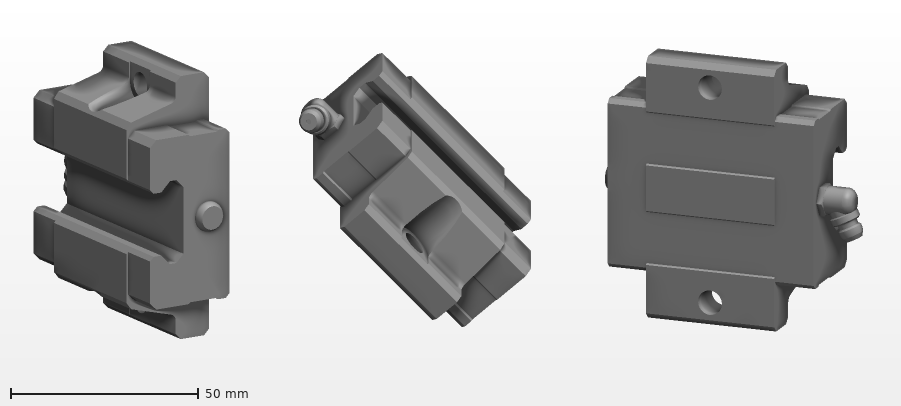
import cadquery as cq
import math


BODY_LENGTH = 36.7
WIDTH = 73.0
HEIGHT = 26.0
FLANGE_THICKNESS = 10.5
FLANGE_CHAMFER = 1.6
SHOULDER_ANGLE = 15.0
SHOULDER_HALF_WIDTH = 25.5
SHOULDER_CHAMFER_LEG = 1.5
FLANGE_ROOT_RADIUS = 2.0

GROOVE_DEPTH = 0.5
GROOVE_INNER = 6.75
GROOVE_OUTER = 21.0
GROOVE_SIDE_RUN = 0.4

CHANNEL_FLOOR_Y = -15.0
CHANNEL_FLOOR_HALF = 9.25
CHANNEL_WIDE_HALF = 11.5
CHANNEL_MOUTH_HALF = 8.75
CHANNEL_LIP_FLAT_Y = -22.0
CHANNEL_LIP_CHAMFER_Y = -24.35
CHANNEL_CLEARANCE = 2.0

HOLE_DIAMETER = 6.8
HOLE_PITCH = 60.0
SEAT_WIDTH = 10.5
SEAT_OUTER = 35.3
SEAT_Y = -10.2

TOTAL_LENGTH = 59.0
CAP_WIDTH = 47.0
CAP_BACK_Y = -0.5
CAP_FRONT_Y = -25.5
CAP_BACK_CHAMFER = 1.2
CAP_FRONT_CHAMFER = 1.9
CAP_NOTCH_DEPTH = 0.45
CAP_NOTCH_BACK_Y = -4.0
CAP_NOTCH_FRONT_Y = -13.35

FITTING_Y = -7.15
HEX_ACROSS_FLATS = 8.0
HEX_SIDES = 6
HEX_THICKNESS = 1.7
HEX_CHAMFER_ANGLE = 30.0
ELBOW_DIAMETER = 7.85
ELBOW_REACH = 9.4
ELBOW_FILLET = 2.45
NIPPLE_TILT = 25.0
NIPPLE_LENGTH = 11.1
NIPPLE_OFFSET = 4.41

STUB_DIAMETER = 6.8
COLLAR_DIAMETER = 8.0
COLLAR_START = 3.7
COLLAR_CYLINDER_START = 4.0
COLLAR_CYLINDER_END = 5.6
COLLAR_END = 6.05
COLLAR_END_DIAMETER = 7.0
NECK_DIAMETER = 5.5
HEAD_START = 7.4
HEAD_DIAMETER = 6.6
HEAD_BULGE_START = 7.9
HEAD_BULGE_END = 9.9
HEAD_BULGE_DIAMETER = 6.1
TIP_DIAMETER = 4.6
TIP_HOLE_DIAMETER = 1.4
TIP_HOLE_DEPTH = 0.2

PLUG_DIAMETER = 8.4
PLUG_END_DIAMETER = 6.5
PLUG_LENGTH = 2.1


def extrude_along_x(outline, length):
    """Extrude a YZ outline, centred on X = 0."""
    return outline.extrude(length / 2, both=True)


def mirrored(half):
    """Close a half outline (Z > 0) with its mirror image about Z = 0."""
    return half + [(y, -z) for y, z in reversed(half)]


def flanged_body():
    slope = math.tan(math.radians(SHOULDER_ANGLE))
    half_width = WIDTH / 2
    root_z = SHOULDER_HALF_WIDTH + (HEIGHT - FLANGE_THICKNESS) * slope
    chamfer_depth = SHOULDER_CHAMFER_LEG * math.cos(math.radians(SHOULDER_ANGLE))
    half = [
        (0, half_width - FLANGE_CHAMFER),
        (-FLANGE_CHAMFER, half_width),
        (-FLANGE_THICKNESS + FLANGE_CHAMFER, half_width),
        (-FLANGE_THICKNESS, half_width - FLANGE_CHAMFER),
        (-FLANGE_THICKNESS, root_z),
        (-HEIGHT + chamfer_depth, SHOULDER_HALF_WIDTH + chamfer_depth * slope),
        (-HEIGHT, SHOULDER_HALF_WIDTH - SHOULDER_CHAMFER_LEG),
    ]
    outline = cq.Workplane("YZ").polyline(mirrored(half)).close()
    body = extrude_along_x(outline, BODY_LENGTH)
    for side in (1, -1):
        root_edge = cq.selectors.NearestToPointSelector((0, -FLANGE_THICKNESS, side * root_z))
        body = body.edges("|X").edges(root_edge).fillet(FLANGE_ROOT_RADIUS)
    return body


def relief_groove(side):
    points = [
        (0, side * (GROOVE_INNER - GROOVE_SIDE_RUN)),
        (-GROOVE_DEPTH, side * GROOVE_INNER),
        (-GROOVE_DEPTH, side * GROOVE_OUTER),
        (0, side * (GROOVE_OUTER + GROOVE_SIDE_RUN)),
    ]
    return extrude_along_x(cq.Workplane("YZ").polyline(points).close(), BODY_LENGTH)


def mounting_hole(side):
    """Through hole with a seat that is round inwards and square outwards."""
    hole_z = side * HOLE_PITCH / 2
    front = cq.Workplane("XZ", origin=(0, 0, hole_z))
    hole = front.circle(HOLE_DIAMETER / 2).extrude(HEIGHT)
    seat_plane = front.workplane(offset=-SEAT_Y)
    seat_depth = HEIGHT + SEAT_Y
    seat = seat_plane.circle(SEAT_WIDTH / 2).extrude(seat_depth)
    square_length = SEAT_OUTER - HOLE_PITCH / 2
    square = (
        seat_plane.center(0, side * square_length / 2)
        .rect(SEAT_WIDTH, square_length)
        .extrude(seat_depth)
    )
    return hole.union(seat).union(square)


def end_cap_bar():
    """One bar through the carriage whose ends form both end caps."""
    half_width = CAP_WIDTH / 2
    notch_z = half_width - CAP_NOTCH_DEPTH
    half = [
        (CAP_BACK_Y, half_width - CAP_BACK_CHAMFER),
        (CAP_BACK_Y - CAP_BACK_CHAMFER, half_width),
        (CAP_NOTCH_BACK_Y, half_width),
        (CAP_NOTCH_BACK_Y - CAP_NOTCH_DEPTH, notch_z),
        (CAP_NOTCH_FRONT_Y + CAP_NOTCH_DEPTH, notch_z),
        (CAP_NOTCH_FRONT_Y, half_width),
        (CAP_FRONT_Y + CAP_FRONT_CHAMFER, half_width),
        (CAP_FRONT_Y, half_width - CAP_FRONT_CHAMFER),
    ]
    outline = cq.Workplane("YZ").polyline(mirrored(half)).close()
    return extrude_along_x(outline, TOTAL_LENGTH)


def rail_channel():
    widening = CHANNEL_WIDE_HALF - CHANNEL_FLOOR_HALF
    narrowing = CHANNEL_WIDE_HALF - CHANNEL_MOUTH_HALF
    cutter_y = -HEIGHT - CHANNEL_CLEARANCE
    half = [
        (CHANNEL_FLOOR_Y, CHANNEL_FLOOR_HALF),
        (CHANNEL_FLOOR_Y - widening, CHANNEL_WIDE_HALF),
        (CHANNEL_LIP_FLAT_Y + narrowing, CHANNEL_WIDE_HALF),
        (CHANNEL_LIP_FLAT_Y, CHANNEL_MOUTH_HALF),
        (CHANNEL_LIP_CHAMFER_Y, CHANNEL_MOUTH_HALF),
        (cutter_y, CHANNEL_MOUTH_HALF + CHANNEL_LIP_CHAMFER_Y - cutter_y),
    ]
    outline = cq.Workplane("YZ").polyline(mirrored(half)).close()
    return extrude_along_x(outline, TOTAL_LENGTH + 2 * CHANNEL_CLEARANCE)


def hex_base():
    """Hexagon with two flats facing +Z and -Z, its outer corners chamfered to a cone."""
    flat_radius = HEX_ACROSS_FLATS / 2
    corner_radius = flat_radius / math.cos(math.pi / HEX_SIDES)
    chamfer_height = (corner_radius - flat_radius) * math.tan(math.radians(HEX_CHAMFER_ANGLE))
    plane = cq.Workplane(cq.Plane((-TOTAL_LENGTH / 2, FITTING_Y, 0), (0, 1, 0), (-1, 0, 0)))
    prism = plane.polygon(HEX_SIDES, 2 * corner_radius).extrude(HEX_THICKNESS)
    envelope = plane.circle(corner_radius).extrude(HEX_THICKNESS)
    envelope = envelope.faces("<X").chamfer(chamfer_height, corner_radius - flat_radius)
    return prism.intersect(envelope)


def elbow():
    plane = cq.Workplane("YZ", origin=(-TOTAL_LENGTH / 2, FITTING_Y, 0))
    barrel = plane.circle(ELBOW_DIAMETER / 2).extrude(-ELBOW_REACH)
    return barrel.faces("<X").edges().fillet(ELBOW_FILLET)


def nipple():
    """Turned nipple, revolved about its tilted axis from the elbow axis to the tip."""
    tilt = math.radians(NIPPLE_TILT)
    origin = (-TOTAL_LENGTH / 2 - NIPPLE_OFFSET, FITTING_Y, 0)
    plane = cq.Plane(origin, (math.cos(tilt), 0, -math.sin(tilt)), (0, 1, 0))
    turned = (
        cq.Workplane(plane)
        .lineTo(STUB_DIAMETER / 2, 0)
        .lineTo(STUB_DIAMETER / 2, COLLAR_START)
        .lineTo(COLLAR_DIAMETER / 2, COLLAR_CYLINDER_START)
        .lineTo(COLLAR_DIAMETER / 2, COLLAR_CYLINDER_END)
        .lineTo(COLLAR_END_DIAMETER / 2, COLLAR_END)
        .lineTo(NECK_DIAMETER / 2, COLLAR_END)
        .lineTo(NECK_DIAMETER / 2, HEAD_START)
        .lineTo(HEAD_DIAMETER / 2, HEAD_BULGE_START)
        .threePointArc(
            (HEAD_DIAMETER / 2, (HEAD_BULGE_START + HEAD_BULGE_END) / 2),
            (HEAD_BULGE_DIAMETER / 2, HEAD_BULGE_END),
        )
        .lineTo(TIP_DIAMETER / 2, NIPPLE_LENGTH)
        .lineTo(TIP_HOLE_DIAMETER / 2, NIPPLE_LENGTH)
        .lineTo(TIP_HOLE_DIAMETER / 2, NIPPLE_LENGTH - TIP_HOLE_DEPTH)
        .lineTo(0, NIPPLE_LENGTH - TIP_HOLE_DEPTH)
        .close()
    )
    return turned.revolve(360, (0, 0, 0), (0, 1, 0))


def plug():
    """Round plug on the +X end cap, its side curving inwards from a tangent start."""
    start_radius = PLUG_DIAMETER / 2
    drop = (PLUG_DIAMETER - PLUG_END_DIAMETER) / 2
    arc_radius = (PLUG_LENGTH ** 2 + drop ** 2) / (2 * drop)
    half_angle = math.asin(PLUG_LENGTH / arc_radius) / 2
    arc_middle = (
        arc_radius * math.sin(half_angle),
        start_radius - arc_radius * (1 - math.cos(half_angle)),
    )
    return (
        cq.Workplane("XY", origin=(TOTAL_LENGTH / 2, FITTING_Y, 0))
        .lineTo(0, start_radius)
        .threePointArc(arc_middle, (PLUG_LENGTH, PLUG_END_DIAMETER / 2))
        .lineTo(PLUG_LENGTH, 0)
        .close()
        .revolve(360, (0, 0, 0), (1, 0, 0))
    )


carriage = flanged_body()
for side in (1, -1):
    carriage = carriage.cut(relief_groove(side)).cut(mounting_hole(side))
carriage = carriage.union(end_cap_bar()).cut(rail_channel())

result = carriage.union(hex_base()).union(elbow()).union(nipple()).union(plug())